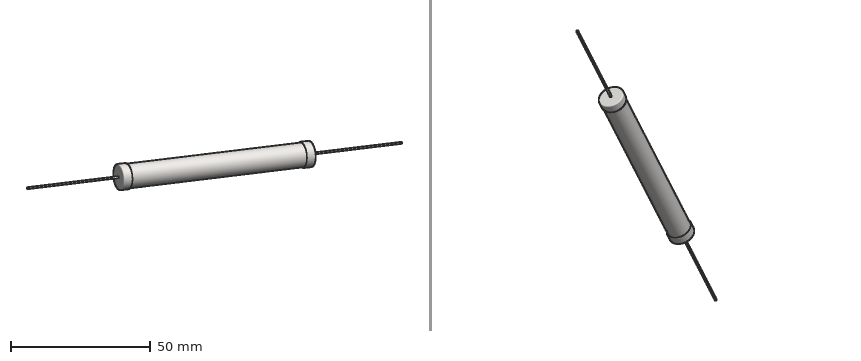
import cadquery as cq

overall_length = 148.0
body_length = 76.0
lead_diameter = 0.8
cap_diameter = 9.6
cap_length = 3.5
cap_edge_radius = 0.5
sleeve_diameter = 9.0


def cylinder_along_y(diameter, length, centre_y=0.0):
    """Solid cylinder on the Y axis, centred at centre_y."""
    start = cq.Workplane("XZ", origin=(0, centre_y + length / 2, 0))
    return start.circle(diameter / 2).extrude(length)


def end_cap(side):
    """Cap with rounded rims at the +Y (side = 1) or -Y (side = -1) end."""
    centre_y = side * (body_length - cap_length) / 2
    return cylinder_along_y(cap_diameter, cap_length, centre_y).edges("%CIRCLE").fillet(cap_edge_radius)


sleeve = cylinder_along_y(sleeve_diameter, body_length - cap_length)
leads = cylinder_along_y(lead_diameter, overall_length)

result = sleeve.union(leads)
for side in (-1, 1):
    result = result.union(end_cap(side))